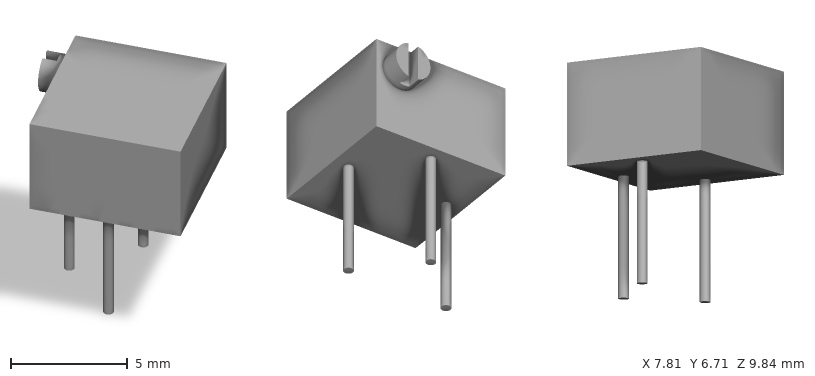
import cadquery as cq

OVERALL_HEIGHT = 9.84

HOUSING_LENGTH = 6.78
HOUSING_WIDTH = 6.71
HOUSING_HEIGHT = 4.51

SCREW_DIAMETER = 1.78
SCREW_PROJECTION = 1.03
SCREW_SIDE_INSET = 1.21
SCREW_TOP_INSET = 1.27
SLOT_WIDTH = 0.5
SLOT_DEPTH = 0.65

PIN_DIAMETER = 0.46
PIN_LENGTH = OVERALL_HEIGHT - HOUSING_HEIGHT
PIN_PITCH = 2.54
FIRST_PIN_X = 0.76

screw_y = HOUSING_WIDTH / 2 - SCREW_SIDE_INSET
screw_z = HOUSING_HEIGHT - SCREW_TOP_INSET

pin_positions = [
    (FIRST_PIN_X + PIN_PITCH, -PIN_PITCH),
    (FIRST_PIN_X, 0),
    (FIRST_PIN_X + PIN_PITCH, PIN_PITCH),
]


def make_housing():
    return cq.Workplane("XY").box(
        HOUSING_LENGTH, HOUSING_WIDTH, HOUSING_HEIGHT, centered=(False, True, False)
    )


def make_screw():
    """Round head with a vertical screwdriver slot across its outer end."""
    head = (
        cq.Workplane("YZ", origin=(-SCREW_PROJECTION, screw_y, screw_z))
        .circle(SCREW_DIAMETER / 2)
        .extrude(SCREW_PROJECTION)
    )
    slot = (
        cq.Workplane("XY")
        .box(SLOT_DEPTH, SLOT_WIDTH, SCREW_DIAMETER, centered=(False, True, True))
        .translate((-SCREW_PROJECTION, screw_y, screw_z))
    )
    return head.cut(slot)


def make_pin(x, y):
    return cq.Workplane("XY").center(x, y).circle(PIN_DIAMETER / 2).extrude(-PIN_LENGTH)


housing = make_housing()
screw = make_screw()
pins = [make_pin(x, y) for x, y in pin_positions]

result = cq.Compound.makeCompound([housing.val(), screw.val(), *[pin.val() for pin in pins]])